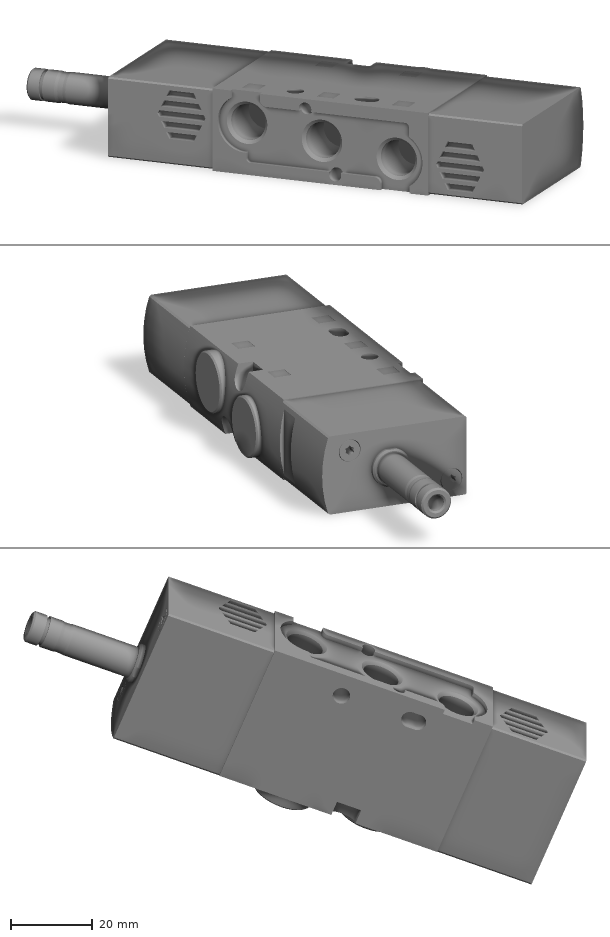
import cadquery as cq
import math

OVERALL_LENGTH = 139.55
OVERALL_DEPTH = 40.4

BODY_LENGTH = 57.6
BODY_HEIGHT = 21.1
CROWN_DEPTH = 39.2
CROWN_RISE = 1.8

LEFT_CAP_LENGTH = 28.0
RIGHT_CAP_LENGTH = 25.0
CAP_HEIGHT = 20.5
CAP_FRONT = 0.4
CAP_CHAMFER = 0.4

PORT_PITCH = 20.0
PORT_STAGGER = 2.4
PORT_DIAMETER = 9.2
PORT_MOUTH_DIAMETER = 10.8
PORT_MOUTH_DEPTH = 0.8
PORT_DEPTH = 12.0

RECESS_DEPTH = 1.2
RECESS_RADIUS = 7.35
RECESS_HALF_HEIGHT = 7.4
STEP_CORNER_RADIUS = 1.0
OPENING_CORNER_RADIUS = 1.6
OPENING_INNER = 16.1
OPENING_OUTER = 23.9
RECESS_STEP_LEFT = -19.7
RECESS_STEP_RIGHT = 23.7

BOSS_DIAMETER = 15.6
BOSS_X = 11.2
BOSS_STAGGER = 2.1
BOSS_CHAMFER = 0.4
BOSS_ROOT = CROWN_DEPTH - 3.0

REAR_SCREW_X = 4.0
REAR_SCREW_Z = 8.0
REAR_SCREW_DIAMETER = 3.3
HEAD_SLOT_WIDTH = 6.4
HEAD_SLOT_FLOOR = 33.5
SIDE_HOLE_DIAMETER = 4.3
SIDE_HOLE_Y = 5.7
SIDE_HOLE_X = -9.0
SIDE_SLOT_X = 10.1
SIDE_SLOT_LENGTH = 6.3

FRAME_SIZE = 4.5
FRAME_DEPTH = 0.1
FRAME_REAR_Y = 30.9
FRAME_FRONT_Y = 5.5

LOUVRE_X = 37.2
LOUVRE_Z = 2.45
LOUVRE_HALF_WIDTH = 6.4
LOUVRE_TOP_HALF_WIDTH = 3.25
LOUVRE_HALF_HEIGHT = 6.2
LOUVRE_COUNT = 5
LOUVRE_GAP = 1.0
LOUVRE_DEPTH = 2.0

CAP_NOTCH_X = -34.0
CAP_NOTCH_WIDTH = 6.8
CAP_NOTCH_FLOOR = 38.0

SCREW_PLACES = [(31.8, 5.75), (4.5, -5.75)]
SCREW_DIAMETER = 3.0
SCREW_HEAD_DIAMETER = 5.5
SCREW_COUNTERBORE_DIAMETER = 5.8
SCREW_HEAD_HEIGHT = 3.5
SCREW_ENGAGEMENT = 8.0
DRIVE_OUTER_RADIUS = 1.35
DRIVE_INNER_RADIUS = 1.0
DRIVE_POINTS = 6
DRIVE_DEPTH = 2.6

TUBE_Y = 21.0
TUBE_DIAMETER = 8.0
TUBE_CHAMFER = 0.45
FLANGE_DIAMETER = 10.0
FLANGE_THICKNESS = 1.4
FLANGE_CHAMFER = 0.5
FLANGE_FLATS = 9.6
GROOVE_START = 3.4
GROOVE_WIDTH = 0.9
GROOVE_DIAMETER = 7.1
CRIMP_START = 7.5
CRIMP_WIDTH = 3.0
CRIMP_SLOPE = 0.8
CRIMP_DIAMETER = 7.7
TUBE_THREAD_DIAMETER = 4.13
TUBE_THREAD_DEPTH = 8.0
TUBE_MOUTH_DIAMETER = 5.0
TUBE_PILOT_DIAMETER = 2.0
TUBE_PILOT_DEPTH = 3.0
TUBE_VENT_DIAMETER = 0.9
TUBE_VENT_DEPTH = 2.0

BODY_LEFT = -BODY_LENGTH / 2
BODY_RIGHT = BODY_LENGTH / 2
CAP_FACE = BODY_LEFT - LEFT_CAP_LENGTH
TUBE_LENGTH = OVERALL_LENGTH - LEFT_CAP_LENGTH - BODY_LENGTH - RIGHT_CAP_LENGTH
CROWN_RADIUS = ((BODY_HEIGHT / 2) ** 2 + CROWN_RISE**2) / (2 * CROWN_RISE)


def box(x_range, y_range, z_range):
    """Box between two limits along each axis."""
    sizes = [high - low for low, high in (x_range, y_range, z_range)]
    low_corner = (x_range[0], y_range[0], z_range[0])
    return cq.Workplane("XY").box(*sizes, centered=False).translate(low_corner)


def cylinder_y(x, z, diameter, y_start, y_end):
    """Cylinder along Y."""
    plane = cq.Plane(origin=(x, y_start, z), xDir=(1, 0, 0), normal=(0, 1, 0))
    return cq.Workplane(plane).circle(diameter / 2).extrude(y_end - y_start)


def crown_y(z):
    """Y of the crowned rear face at height z."""
    return CROWN_DEPTH - CROWN_RADIUS + math.sqrt(CROWN_RADIUS**2 - z**2)


def crowned_block(x_start, length, front_y, height):
    """Block along X whose rear face is an arc."""
    half = height / 2
    return (
        cq.Workplane("YZ", origin=(x_start, 0, 0))
        .moveTo(front_y, -half)
        .lineTo(crown_y(half), -half)
        .threePointArc((CROWN_DEPTH, 0), (crown_y(half), half))
        .lineTo(front_y, half)
        .close()
        .extrude(length)
    )


def gasket_recess():
    """Shallow recess round the three ports, open to the top at the left and to the bottom at the right."""
    left = (-PORT_PITCH, PORT_STAGGER)
    right = (PORT_PITCH, -PORT_STAGGER)
    edge = BODY_HEIGHT / 2 + 1

    def above(centre, x):
        return centre[1] + math.sqrt(RECESS_RADIUS**2 - (x - centre[0]) ** 2)

    def below(centre, x):
        return centre[1] - math.sqrt(RECESS_RADIUS**2 - (x - centre[0]) ** 2)

    left_side = (left[0] - RECESS_RADIUS, left[1])
    right_side = (right[0] + RECESS_RADIUS, right[1])
    recess = (
        cq.Workplane("XZ")
        .moveTo(-OPENING_OUTER, edge)
        .lineTo(-OPENING_OUTER, above(left, -OPENING_OUTER))
        .threePointArc(left_side, (RECESS_STEP_LEFT, below(left, RECESS_STEP_LEFT)))
        .lineTo(RECESS_STEP_LEFT, -RECESS_HALF_HEIGHT)
        .lineTo(OPENING_INNER, -RECESS_HALF_HEIGHT)
        .lineTo(OPENING_INNER, -edge)
        .lineTo(OPENING_OUTER, -edge)
        .lineTo(OPENING_OUTER, below(right, OPENING_OUTER))
        .threePointArc(right_side, (RECESS_STEP_RIGHT, above(right, RECESS_STEP_RIGHT)))
        .lineTo(RECESS_STEP_RIGHT, RECESS_HALF_HEIGHT)
        .lineTo(-OPENING_INNER, RECESS_HALF_HEIGHT)
        .lineTo(-OPENING_INNER, edge)
        .close()
        .extrude(-RECESS_DEPTH)
    )
    step_corners = [
        (RECESS_STEP_LEFT, -RECESS_HALF_HEIGHT),
        (RECESS_STEP_RIGHT, RECESS_HALF_HEIGHT),
    ]
    opening_corners = [
        (OPENING_INNER, -RECESS_HALF_HEIGHT),
        (-OPENING_INNER, RECESS_HALF_HEIGHT),
    ]
    for corners, radius in ((step_corners, STEP_CORNER_RADIUS), (opening_corners, OPENING_CORNER_RADIUS)):
        for x, z in corners:
            corner_edge = cq.selectors.NearestToPointSelector((x, RECESS_DEPTH / 2, z))
            recess = recess.edges("|Y").edges(corner_edge).fillet(radius)
    return recess


def front_port(x, z):
    """Blind port with a tapered mouth, cut from the recess floor."""
    bore = cylinder_y(x, z, PORT_DIAMETER, RECESS_DEPTH, RECESS_DEPTH + PORT_DEPTH)
    plane = cq.Plane(origin=(x, RECESS_DEPTH, z), xDir=(1, 0, 0), normal=(0, 1, 0))
    mouth = (
        cq.Workplane(plane)
        .circle(PORT_MOUTH_DIAMETER / 2)
        .workplane(offset=PORT_MOUTH_DEPTH)
        .circle(PORT_DIAMETER / 2)
        .loft(ruled=True)
    )
    return bore.union(mouth)


def rear_screw_cut(side):
    """Through hole along Y with a head slot open to the rear and to the top (side 1) or bottom (side -1)."""
    x = -side * REAR_SCREW_X
    z = side * REAR_SCREW_Z
    hole = cylinder_y(x, z, REAR_SCREW_DIAMETER, 0, OVERALL_DEPTH)
    head = cylinder_y(x, z, HEAD_SLOT_WIDTH, HEAD_SLOT_FLOOR, OVERALL_DEPTH)
    half = HEAD_SLOT_WIDTH / 2
    z_limits = sorted((z, side * BODY_HEIGHT))
    opening = box((x - half, x + half), (HEAD_SLOT_FLOOR, OVERALL_DEPTH), z_limits)
    return hole.union(head).union(opening)


def make_body():
    body = crowned_block(BODY_LEFT, BODY_LENGTH, 0, BODY_HEIGHT)
    for side in (-1, 1):
        boss = cylinder_y(side * BOSS_X, side * BOSS_STAGGER, BOSS_DIAMETER, BOSS_ROOT, OVERALL_DEPTH)
        body = body.union(boss.faces(">Y").chamfer(BOSS_CHAMFER))
    body = body.cut(gasket_recess())
    for index in (-1, 0, 1):
        body = body.cut(front_port(index * PORT_PITCH, -index * PORT_STAGGER))
    for side in (-1, 1):
        body = body.cut(rear_screw_cut(side))

    top = cq.Workplane("XY", origin=(0, 0, BODY_HEIGHT / 2))
    side_hole = top.center(SIDE_HOLE_X, SIDE_HOLE_Y).circle(SIDE_HOLE_DIAMETER / 2).extrude(-BODY_HEIGHT)
    side_slot = (
        top.center(SIDE_SLOT_X, SIDE_HOLE_Y)
        .slot2D(SIDE_SLOT_LENGTH, SIDE_HOLE_DIAMETER)
        .extrude(-BODY_HEIGHT)
    )
    frame_places = [(x, FRAME_REAR_Y) for x in (-BOSS_X, BOSS_X)]
    frame_places += [(x, FRAME_FRONT_Y) for x in (-PORT_PITCH, 0, PORT_PITCH)]
    frames = top.pushPoints(frame_places).rect(FRAME_SIZE, FRAME_SIZE).extrude(-FRAME_DEPTH)
    body = body.cut(side_hole).cut(side_slot).cut(frames)

    for y, z in SCREW_PLACES:
        thread = cq.Workplane("YZ", origin=(BODY_LEFT, y, z)).circle(SCREW_DIAMETER / 2)
        body = body.cut(thread.extrude(SCREW_ENGAGEMENT))
    return body


def louvres(x, z):
    """Parallel grooves that together fill a hexagonal outline."""
    outline = [
        (-LOUVRE_HALF_WIDTH, 0),
        (-LOUVRE_TOP_HALF_WIDTH, LOUVRE_HALF_HEIGHT),
        (LOUVRE_TOP_HALF_WIDTH, LOUVRE_HALF_HEIGHT),
        (LOUVRE_HALF_WIDTH, 0),
        (LOUVRE_TOP_HALF_WIDTH, -LOUVRE_HALF_HEIGHT),
        (-LOUVRE_TOP_HALF_WIDTH, -LOUVRE_HALF_HEIGHT),
    ]
    front = cq.Workplane("XZ", origin=(x, CAP_FRONT, z))
    grooves = front.polyline(outline).close().extrude(-LOUVRE_DEPTH)
    pitch = (2 * LOUVRE_HALF_HEIGHT + LOUVRE_GAP) / LOUVRE_COUNT
    for index in range(1, LOUVRE_COUNT):
        rib_z = -LOUVRE_HALF_HEIGHT + index * pitch - LOUVRE_GAP / 2
        rib = front.center(0, rib_z).rect(2 * LOUVRE_HALF_WIDTH, LOUVRE_GAP).extrude(-LOUVRE_DEPTH)
        grooves = grooves.cut(rib)
    return grooves


def make_cap(x_start, length, side):
    """End cap on the left (side -1) or on the right (side 1) of the body."""
    cap = crowned_block(x_start, length, CAP_FRONT, CAP_HEIGHT).edges("|X").chamfer(CAP_CHAMFER)
    return cap.cut(louvres(side * LOUVRE_X, -side * LOUVRE_Z))


def make_left_cap():
    cap = make_cap(CAP_FACE, LEFT_CAP_LENGTH, -1)
    half = CAP_NOTCH_WIDTH / 2
    notch = box(
        (CAP_NOTCH_X - half, CAP_NOTCH_X + half),
        (CAP_NOTCH_FLOOR, OVERALL_DEPTH),
        (-CAP_HEIGHT / 2, CAP_HEIGHT / 2),
    )
    cap = cap.cut(notch)
    for y, z in SCREW_PLACES:
        face = cq.Workplane("YZ", origin=(CAP_FACE, y, z))
        cap = cap.cut(face.circle(SCREW_DIAMETER / 2).extrude(LEFT_CAP_LENGTH))
        cap = cap.cut(face.circle(SCREW_COUNTERBORE_DIAMETER / 2).extrude(SCREW_HEAD_HEIGHT))
    return cap


def make_screw(y, z):
    """Screw whose cylindrical head is flush with the cap face and has a star drive."""
    face = cq.Workplane("YZ", origin=(CAP_FACE, y, z))
    head = face.circle(SCREW_HEAD_DIAMETER / 2).extrude(SCREW_HEAD_HEIGHT)
    shank = face.circle(SCREW_DIAMETER / 2).extrude(LEFT_CAP_LENGTH + SCREW_ENGAGEMENT)
    star = []
    for index in range(2 * DRIVE_POINTS):
        angle = math.pi / 2 + index * math.pi / DRIVE_POINTS
        radius = DRIVE_INNER_RADIUS if index % 2 else DRIVE_OUTER_RADIUS
        star.append((radius * math.cos(angle), radius * math.sin(angle)))
    drive = face.polyline(star).close().extrude(DRIVE_DEPTH)
    return head.union(shank).cut(drive)


def make_tube():
    """Turned tube with a retaining groove, a crimp, a flange with two flats and a threaded bore."""
    radius = TUBE_DIAMETER / 2
    flange_start = TUBE_LENGTH - FLANGE_THICKNESS
    flange_radius = FLANGE_DIAMETER / 2
    bore_radius = TUBE_THREAD_DIAMETER / 2
    mouth_radius = TUBE_MOUTH_DIAMETER / 2
    pilot_radius = TUBE_PILOT_DIAMETER / 2
    pilot_start = TUBE_THREAD_DEPTH + bore_radius - pilot_radius
    pilot_end = pilot_start + TUBE_PILOT_DEPTH
    vent_radius = TUBE_VENT_DIAMETER / 2
    vent_end = pilot_end + TUBE_VENT_DEPTH
    profile = [
        (0, mouth_radius),
        (0, radius - TUBE_CHAMFER),
        (TUBE_CHAMFER, radius),
        (GROOVE_START, radius),
        (GROOVE_START, GROOVE_DIAMETER / 2),
        (GROOVE_START + GROOVE_WIDTH, GROOVE_DIAMETER / 2),
        (GROOVE_START + GROOVE_WIDTH, radius),
        (CRIMP_START, radius),
        (CRIMP_START + CRIMP_SLOPE, CRIMP_DIAMETER / 2),
        (CRIMP_START + CRIMP_WIDTH - CRIMP_SLOPE, CRIMP_DIAMETER / 2),
        (CRIMP_START + CRIMP_WIDTH, radius),
        (flange_start, radius),
        (flange_start, flange_radius - FLANGE_CHAMFER),
        (flange_start + FLANGE_CHAMFER, flange_radius),
        (TUBE_LENGTH, flange_radius),
        (TUBE_LENGTH, 0),
        (vent_end, 0),
        (vent_end, vent_radius),
        (pilot_end, vent_radius),
        (pilot_end, pilot_radius),
        (pilot_start, pilot_radius),
        (TUBE_THREAD_DEPTH, bore_radius),
        (mouth_radius - bore_radius, bore_radius),
    ]
    turned = (
        cq.Workplane("XY", origin=(CAP_FACE - TUBE_LENGTH, TUBE_Y, 0))
        .polyline(profile)
        .close()
        .revolve(360, (0, 0, 0), (1, 0, 0))
    )
    half = FLANGE_FLATS / 2
    between_flats = box(
        (CAP_FACE - TUBE_LENGTH, CAP_FACE),
        (TUBE_Y - FLANGE_DIAMETER, TUBE_Y + FLANGE_DIAMETER),
        (-half, half),
    )
    return turned.intersect(between_flats)


body = make_body()
left_cap = make_left_cap()
right_cap = make_cap(BODY_RIGHT, RIGHT_CAP_LENGTH, 1)
tube = make_tube()
screws = [make_screw(y, z) for y, z in SCREW_PLACES]

result = cq.Compound.makeCompound(
    [body.val(), left_cap.val(), right_cap.val(), tube.val(), *[screw.val() for screw in screws]]
)